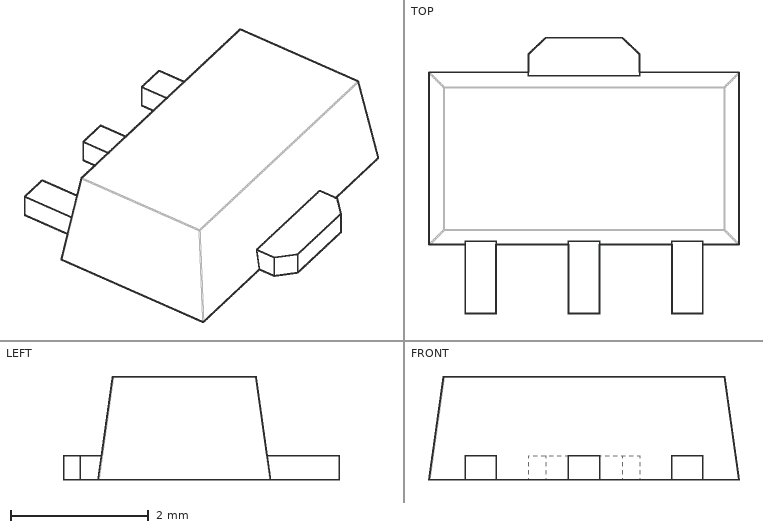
import cadquery as cq

body_length = 4.5
body_width = 2.5
body_height = 1.5
draft_angle = 8.0
edge_radius = 0.015

lead_count = 3
lead_pitch = 1.5
lead_width = 0.45
lead_reach = 1.0
metal_thickness = 0.35

tab_width = 1.615
tab_reach = 0.5
tab_chamfer_x = 0.25
tab_chamfer_y = 0.24


def make_body():
    """Tapered block with its slanted and top edges slightly rounded."""
    block = cq.Workplane("XY").rect(body_length, body_width).extrude(body_height, taper=draft_angle)
    return block.edges("not <Z").fillet(edge_radius)


def make_lead(x_center):
    """Straight bar running from the middle of the body out past the front wall."""
    length = body_width / 2 + lead_reach
    return (
        cq.Workplane("XY")
        .center(x_center, -length / 2)
        .rect(lead_width, length)
        .extrude(metal_thickness)
    )


def make_tab():
    """Flat tab with two chamfered outer corners."""
    half_width = tab_width / 2
    tip_half_width = half_width - tab_chamfer_x
    tip_y = body_width / 2 + tab_reach
    shoulder_y = tip_y - tab_chamfer_y
    outline = [
        (-half_width, 0),
        (half_width, 0),
        (half_width, shoulder_y),
        (tip_half_width, tip_y),
        (-tip_half_width, tip_y),
        (-half_width, shoulder_y),
    ]
    return cq.Workplane("XY").polyline(outline).close().extrude(metal_thickness)


result = make_body().union(make_tab())
for index in range(lead_count):
    lead_x = (index - (lead_count - 1) / 2) * lead_pitch
    result = result.union(make_lead(lead_x))